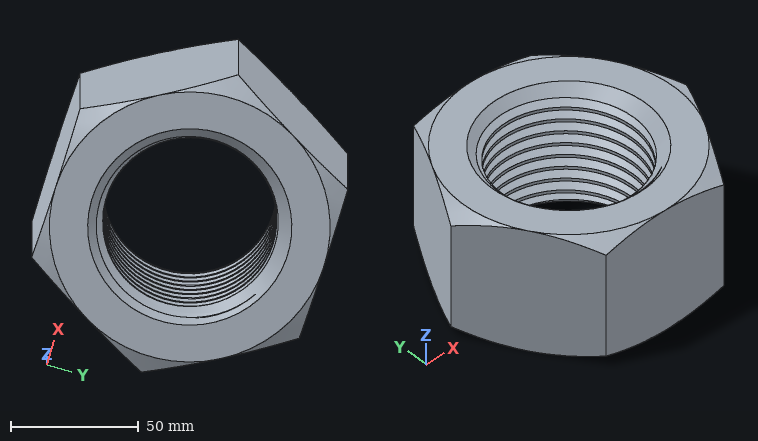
import cadquery as cq
import math

thread_diameter = 76.0
pitch = 6.0
hexagon_sides = 6
across_flats = 110.0
height = 61.0
bore_diameter = 68.2
countersink_diameter = 80.0
flank_angle = 30.0
corner_chamfer_angle = 30.0

across_corners = across_flats / math.cos(math.radians(180 / hexagon_sides))
half_height = height / 2
thread_radius = thread_diameter / 2
bore_radius = bore_diameter / 2
countersink_radius = countersink_diameter / 2
countersink_depth = countersink_radius - bore_radius
cutter_overlap = 0.2
chamfer_margin = 1.0


def hexagon_blank():
    return cq.Workplane("XY").polygon(hexagon_sides, across_corners).extrude(half_height, both=True)


def turned_body(face_radius, middle_radius, end_height):
    """Solid of revolution about Z with a cone of the given height at each end."""
    shoulder = half_height - end_height
    return (
        cq.Workplane("XZ")
        .moveTo(0, -half_height)
        .lineTo(face_radius, -half_height)
        .lineTo(middle_radius, -shoulder)
        .lineTo(middle_radius, shoulder)
        .lineTo(face_radius, half_height)
        .lineTo(0, half_height)
        .close()
        .revolve(360, (0, 0, 0), (0, 1, 0))
    )


def chamfer_envelope():
    """Body whose conical ends take the corners off the hexagon."""
    face_radius = across_flats / 2
    outer_radius = across_corners / 2 + chamfer_margin
    drop = (outer_radius - face_radius) * math.tan(math.radians(corner_chamfer_angle))
    return turned_body(face_radius, outer_radius, drop)


def countersunk_bore():
    """Through bore with a 45 degree countersink at both ends."""
    return turned_body(countersink_radius, bore_radius, countersink_depth)


def thread_groove():
    """Right-handed V groove that runs out through both countersinks."""
    inner_radius = bore_radius - cutter_overlap
    half_mouth = (thread_radius - inner_radius) * math.tan(math.radians(flank_angle))
    start = -half_height - pitch
    turns = math.ceil(height / pitch) + 1
    path = cq.Wire.makeHelix(pitch, turns * pitch, thread_radius, center=cq.Vector(0, 0, start))
    return (
        cq.Workplane("XZ")
        .moveTo(thread_radius, start)
        .lineTo(inner_radius, start + half_mouth)
        .lineTo(inner_radius, start - half_mouth)
        .close()
        .sweep(cq.Workplane(obj=path), isFrenet=True)
    )


blank = hexagon_blank().intersect(chamfer_envelope())
threaded = blank.cut(thread_groove())
result = threaded.cut(countersunk_bore())